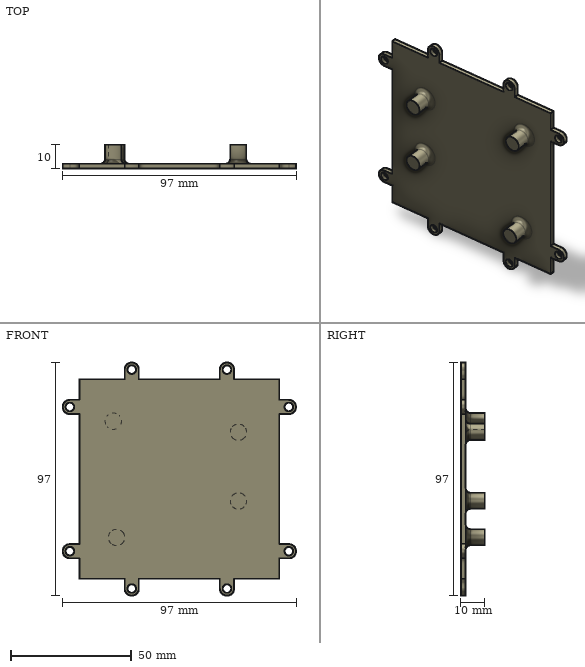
import cadquery as cq

overall_span = 97.0
overall_depth = 10.0
plate_side = 83.0
plate_thickness = 2.0

lug_width = 6.0
lug_hole_diameter = 3.5
lug_offset_top_bottom = 20.4
lug_offset_sides = 30.9

post_diameter = 6.8
post_fillet = 1.9
post_height = overall_depth - plate_thickness
post_centres = [(-27.5, 24.2), (-26.2, -24.2), (24.4, 19.6), (24.4, -9.0)]

lug_radius = lug_width / 2
lug_hole_reach = overall_span / 2 - lug_radius


def plane_at(y):
    """Workplane at the given Y, with local x, y along X, Z and its normal along -Y."""
    return cq.Workplane("XZ", origin=(0, y, 0))


def lug_blank(offset, angle):
    """Round-ended lug pointing along +Z, then turned about Y to its edge."""
    stem = (
        plane_at(0)
        .center(offset, lug_hole_reach / 2)
        .rect(lug_width, lug_hole_reach)
        .extrude(-plate_thickness)
    )
    tip = plane_at(0).center(offset, lug_hole_reach).circle(lug_radius).extrude(-plate_thickness)
    return stem.union(tip).rotate((0, 0, 0), (0, 1, 0), angle)


result = plane_at(0).rect(plate_side, plate_side).extrude(-plate_thickness)
lug_edges = [
    (0, lug_offset_top_bottom),
    (90, lug_offset_sides),
    (180, lug_offset_top_bottom),
    (270, lug_offset_sides),
]
for angle, offset in lug_edges:
    for side in (-1, 1):
        result = result.union(lug_blank(side * offset, angle))

hole_centres = []
for side in (-1, 1):
    for end in (-1, 1):
        hole_centres.append((side * lug_offset_top_bottom, end * lug_hole_reach))
        hole_centres.append((end * lug_hole_reach, side * lug_offset_sides))
holes = plane_at(0).pushPoints(hole_centres).circle(lug_hole_diameter / 2).extrude(-plate_thickness)
result = result.cut(holes)

posts = (
    plane_at(plate_thickness)
    .pushPoints(post_centres)
    .circle(post_diameter / 2)
    .extrude(-post_height)
)
result = result.union(posts)
for x, z in post_centres:
    root_edge = cq.selectors.BoxSelector(
        (x - post_diameter, plate_thickness - post_fillet / 2, z - post_diameter),
        (x + post_diameter, plate_thickness + post_fillet / 2, z + post_diameter),
        boundingbox=True,
    )
    result = result.edges(root_edge).edges("%CIRCLE").fillet(post_fillet)